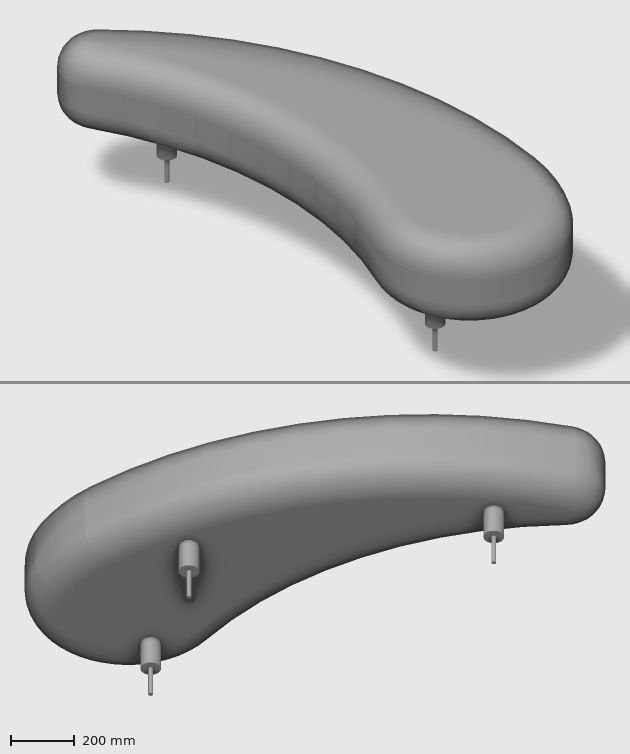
import cadquery as cq
import math

total_height = 500.0
pin_height = 100.0
collar_height = 99.0
cushion_bottom = pin_height + collar_height
cushion_height = total_height - cushion_bottom
edge_radius = 100.0

length = 1902.0
small_radius = 125.0
big_radius = 323.0
inner_radius = 1407.0
outer_radius = 1693.0
shoulder_radius = 590.0
shoulder_angle = 56.0

collar_diameter = 65.0
pin_diameter = 15.0
leg_places = [(315.0, 243.0), (1236.0, 548.0), (1586.0, 164.0)]


def toward(start, end, distance):
    """Point at a distance from start, in the direction of end."""
    span = math.dist(start, end)
    return tuple(a + (b - a) * distance / span for a, b in zip(start, end))


def circle_crossing(first, first_radius, second, second_radius):
    """Crossing of two circles that lies to the right when going from first to second."""
    span = math.dist(first, second)
    along = (span**2 + first_radius**2 - second_radius**2) / (2 * span)
    aside = math.sqrt(first_radius**2 - along**2)
    ux = (second[0] - first[0]) / span
    uy = (second[1] - first[1]) / span
    return (first[0] + along * ux + aside * uy, first[1] + along * uy - aside * ux)


def arc_middle(center, start, end):
    """Middle of the shorter arc from start to end about center."""
    chord_middle = tuple((a + b) / 2 for a, b in zip(start, end))
    return toward(center, chord_middle, math.dist(center, start))


def make_cushion():
    small_center = (small_radius, small_radius)
    big_center = (length - big_radius, big_radius)

    angle = math.radians(shoulder_angle)
    direction = (math.cos(angle), math.sin(angle))
    shoulder_end = tuple(c + big_radius * d for c, d in zip(big_center, direction))
    shoulder_center = toward(shoulder_end, big_center, shoulder_radius)

    outer_center = circle_crossing(
        small_center, outer_radius - small_radius,
        shoulder_center, outer_radius - shoulder_radius,
    )
    outer_start = toward(outer_center, small_center, outer_radius)
    outer_end = toward(outer_center, shoulder_center, outer_radius)

    inner_center = circle_crossing(
        small_center, inner_radius + small_radius,
        big_center, inner_radius + big_radius,
    )
    inner_start = toward(inner_center, big_center, inner_radius)
    inner_end = toward(inner_center, small_center, inner_radius)

    big_end_middle = (length, big_radius)
    small_end_middle = (0, small_radius)
    return (
        cq.Workplane("XY", origin=(0, 0, cushion_bottom))
        .moveTo(*outer_start)
        .threePointArc(arc_middle(outer_center, outer_start, outer_end), outer_end)
        .threePointArc(arc_middle(shoulder_center, outer_end, shoulder_end), shoulder_end)
        .threePointArc(big_end_middle, inner_start)
        .threePointArc(arc_middle(inner_center, inner_start, inner_end), inner_end)
        .threePointArc(small_end_middle, outer_start)
        .close()
        .extrude(cushion_height)
        .faces("<Z or >Z").edges().fillet(edge_radius)
    )


def make_collar(place):
    """Thick upper part of a leg, against the underside of the cushion."""
    return (
        cq.Workplane("XY", origin=(*place, pin_height))
        .circle(collar_diameter / 2)
        .extrude(collar_height)
    )


def make_pin(place):
    """Thin lower part of a leg, from the ground up to the collar."""
    return cq.Workplane("XY", origin=(*place, 0)).circle(pin_diameter / 2).extrude(pin_height)


cushion = make_cushion()
collars = [make_collar(place).val() for place in leg_places]
pins = [make_pin(place).val() for place in leg_places]

result = cq.Compound.makeCompound([cushion.val(), *collars, *pins])